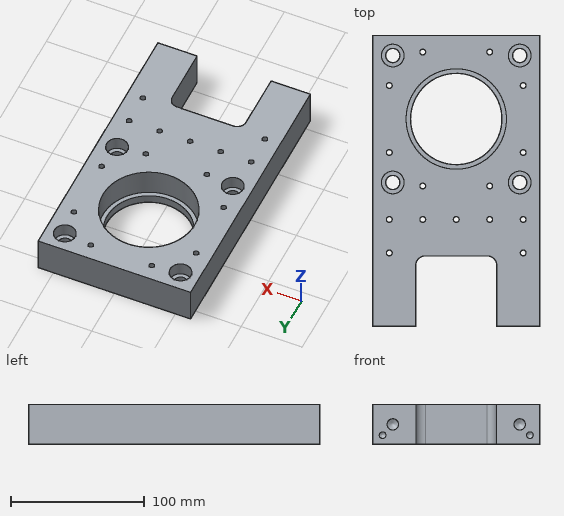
import cadquery as cq
import math

LENGTH = 217.5
WIDTH = 125.0
THICKNESS = 30.0

BORE_Y = LENGTH - WIDTH / 2
BORE_DIAMETER = 68.0
SEAT_DIAMETER = 75.0
SEAT_DEPTH = 22.6

MOUNT_OFFSET = 47.5
MOUNT_DIAMETER = 10.5
COUNTERBORE_DIAMETER = 17.0
COUNTERBORE_DEPTH = 11.0

GRID = 25.0
SMALL_DIAMETER = 4.1

SLOT_WIDTH = 60.5
SLOT_LENGTH = 52.6
SLOT_RADIUS = 7.2

END_HOLE_X = MOUNT_OFFSET
END_HOLE_Z = THICKNESS / 2
END_HOLE_DIAMETER = 8.5
END_HOLE_DEPTH = 25.0
PIN_HOLE_X = 55.0
PIN_HOLE_Z = 7.0
PIN_HOLE_DIAMETER = 5.0
PIN_HOLE_DEPTH = 15.0
DRILL_POINT_ANGLE = 118


def make_plate():
    return cq.Workplane("XY").box(WIDTH, LENGTH, THICKNESS, centered=(True, False, False))


def make_slot():
    """Slot open at the front, with rounded inner corners."""
    slot = cq.Workplane("XY").box(SLOT_WIDTH, SLOT_LENGTH, THICKNESS, centered=(True, False, False))
    return slot.edges("|Z and >Y").fillet(SLOT_RADIUS)


def bore_plane(part):
    """Top-face workplane with its origin on the bore axis."""
    return part.faces(">Z").workplane(origin=(0, BORE_Y, THICKNESS))


def small_hole_points():
    """Hole centres relative to the bore axis."""
    points = []
    for side in (-1, 1):
        for end in (-1, 1):
            points.append((side * GRID, end * 2 * GRID))
            points.append((side * 2 * GRID, end * GRID))
        points.append((side * 2 * GRID, -4 * GRID))
    for column in range(-2, 3):
        points.append((column * GRID, -3 * GRID))
    return points


def make_drilling(x, z, diameter, depth):
    """Solid of a blind hole along Y, with a conical drill point."""
    radius = diameter / 2
    point_length = radius / math.tan(math.radians(DRILL_POINT_ANGLE / 2))
    profile = cq.Workplane("XY").polyline(
        [(0, 0), (radius, 0), (radius, depth), (0, depth + point_length)]
    ).close()
    return profile.revolve(360, (0, 0), (0, 1)).translate((x, 0, z))


result = make_plate().cut(make_slot())
result = bore_plane(result).cboreHole(BORE_DIAMETER, SEAT_DIAMETER, SEAT_DEPTH)
result = (
    bore_plane(result)
    .rect(2 * MOUNT_OFFSET, 2 * MOUNT_OFFSET, forConstruction=True)
    .vertices()
    .cboreHole(MOUNT_DIAMETER, COUNTERBORE_DIAMETER, COUNTERBORE_DEPTH)
)
result = bore_plane(result).pushPoints(small_hole_points()).hole(SMALL_DIAMETER)

for arm in (-1, 1):
    result = result.cut(make_drilling(arm * END_HOLE_X, END_HOLE_Z, END_HOLE_DIAMETER, END_HOLE_DEPTH))
    result = result.cut(make_drilling(arm * PIN_HOLE_X, PIN_HOLE_Z, PIN_HOLE_DIAMETER, PIN_HOLE_DEPTH))